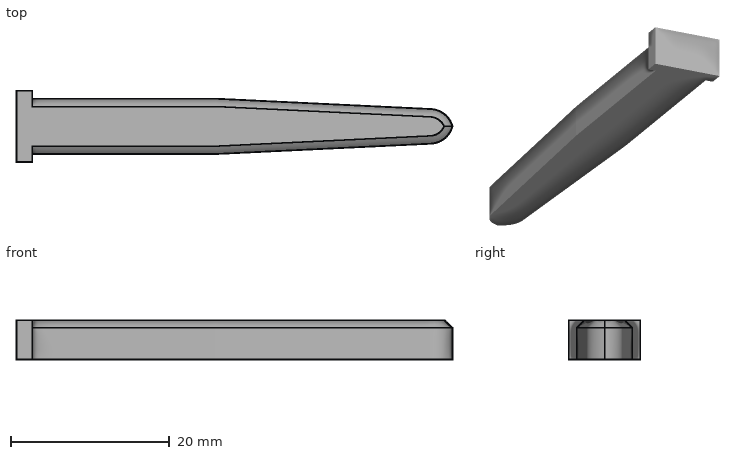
import cadquery as cq
import math

head_thickness = 2.0
head_width = 9.0
height = 5.0

shank_width = 7.0
taper_start_x = 25.0
taper_angle = math.radians(2.75)
nose_radius = 3.0
nose_limit_x = 55.0
edge_chamfer = 1.0

shank_half_width = shank_width / 2
nose_center_x = nose_limit_x - nose_radius
side_y_at_nose_center = shank_half_width - (nose_center_x - taper_start_x) * math.tan(taper_angle)
nose_center_y = side_y_at_nose_center - nose_radius / math.cos(taper_angle)


def nose_arc_point(angle):
    """Point on the +Y nose arc, with the angle measured from the X axis."""
    return (
        nose_center_x + nose_radius * math.cos(angle),
        nose_center_y + nose_radius * math.sin(angle),
    )


def mirrored(point):
    """The same point on the -Y side."""
    return (point[0], -point[1])


def make_head():
    return cq.Workplane("XY").box(head_thickness, head_width, height, centered=(False, True, False))


def make_blade():
    tangent_angle = math.pi / 2 - taper_angle
    tip_angle = math.asin(-nose_center_y / nose_radius)
    root = (head_thickness, shank_half_width)
    taper_start = (taper_start_x, shank_half_width)
    arc_start = nose_arc_point(tangent_angle)
    arc_middle = nose_arc_point((tangent_angle + tip_angle) / 2)
    tip = nose_arc_point(tip_angle)

    blade = (
        cq.Workplane("XY")
        .moveTo(*root)
        .lineTo(*taper_start)
        .lineTo(*arc_start)
        .threePointArc(arc_middle, tip)
        .threePointArc(mirrored(arc_middle), mirrored(arc_start))
        .lineTo(*mirrored(taper_start))
        .lineTo(*mirrored(root))
        .close()
        .extrude(height)
    )
    return blade.faces(">Z").edges("not <X").chamfer(edge_chamfer)


result = make_head().union(make_blade())